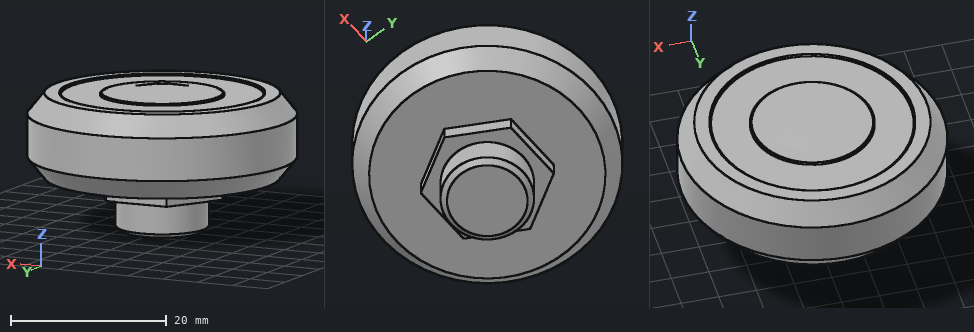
import cadquery as cq
import math

stud_chamfer_height = 0.62
hex_bottom = 4.72
wheel_bottom = 7.0
bevel_height = 2.7
wheel_top = 18.0
total_height = 18.8

wheel_diameter = 34.7
face_diameter = 30.32
recess_outer_diameter = 26.45
recess_inner_diameter = 15.6
recess_wall_width = 0.2
recess_depth = 0.2

hex_across_flats = 15.0
stud_diameter = 12.0
stud_tip_diameter = 10.35
dome_diameter = 11.5


def make_wheel():
    """Solid disc with a conical bevel at both ends."""
    rim = wheel_diameter / 2
    face = face_diameter / 2
    return (
        cq.Workplane("XZ")
        .moveTo(0, wheel_bottom)
        .lineTo(face, wheel_bottom)
        .lineTo(rim, wheel_bottom + bevel_height)
        .lineTo(rim, wheel_top - bevel_height)
        .lineTo(face, wheel_top)
        .lineTo(0, wheel_top)
        .close()
        .revolve(360, (0, 0, 0), (0, 1, 0))
    )


def make_recess():
    """Shallow ring sunk into the top face, with sloping walls on both sides."""
    outer = recess_outer_diameter / 2
    inner = recess_inner_diameter / 2
    floor = wheel_top - recess_depth
    return (
        cq.Workplane("XZ")
        .moveTo(inner, wheel_top)
        .lineTo(inner + recess_wall_width, floor)
        .lineTo(outer - recess_wall_width, floor)
        .lineTo(outer, wheel_top)
        .close()
        .revolve(360, (0, 0, 0), (0, 1, 0))
    )


def make_hexagon():
    """Hexagonal collar with two corners on the X axis."""
    across_corners = hex_across_flats / math.cos(math.pi / 6)
    return (
        cq.Workplane("XY", origin=(0, 0, hex_bottom))
        .polygon(6, across_corners)
        .extrude(wheel_bottom - hex_bottom)
    )


def make_stud():
    """Round stud with a conical tip."""
    radius = stud_diameter / 2
    return (
        cq.Workplane("XZ")
        .lineTo(stud_tip_diameter / 2, 0)
        .lineTo(radius, stud_chamfer_height)
        .lineTo(radius, hex_bottom)
        .lineTo(0, hex_bottom)
        .close()
        .revolve(360, (0, 0, 0), (0, 1, 0))
    )


def make_dome():
    """Shallow spherical cap on the top face."""
    radius = dome_diameter / 2
    rise = total_height - wheel_top
    sphere_radius = (radius**2 + rise**2) / (2 * rise)
    centre_height = total_height - sphere_radius
    half_angle = math.asin(radius / sphere_radius) / 2
    arc_middle = (
        sphere_radius * math.sin(half_angle),
        centre_height + sphere_radius * math.cos(half_angle),
    )
    return (
        cq.Workplane("XZ")
        .moveTo(0, wheel_top)
        .lineTo(radius, wheel_top)
        .threePointArc(arc_middle, (0, total_height))
        .close()
        .revolve(360, (0, 0, 0), (0, 1, 0))
    )


result = make_wheel().union(make_hexagon()).union(make_stud()).union(make_dome())
result = result.cut(make_recess())